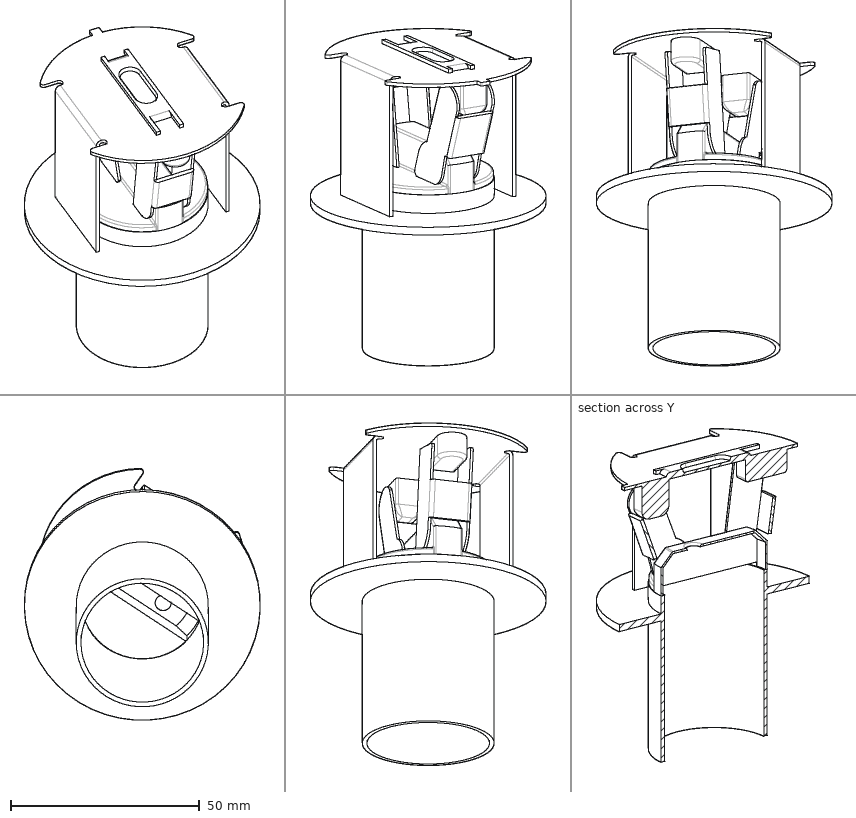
import cadquery as cq
import math

TUBE_DIAMETER = 35.0
TUBE_BORE = 32.5
TUBE_TOP = 47.0
FLANGE_DIAMETER = 62.5
FLANGE_BOTTOM = 39.9
FLANGE_TOP = 42.0

CAP_RADIUS = 17.3
CAP_TOP = 49.0
CAP_SHEET = 0.7
CAP_RIM_ROUNDING = 0.6
RIDGE_HALF_WIDTH = 4.0
RIDGE_TOP = 58.75
RIDGE_SHOULDER = 55.0
RIDGE_END_RADIUS = 17.5
RIDGE_END_SLOPE = 45
RIDGE_ROUNDING = 0.6
RIDGE_FOOT_ROUNDING = 0.5
RIDGE_HOLE_X = -6.7
RIDGE_HOLE_DIAMETER = 4.2

LEVER_HALF_WIDTH = 5.8
LEVER_SHEET = 0.7
WEB_THICKNESS = 0.9
WEB_LAP = 0.25
WEB_EDGE_ROUNDING = 1.05

TOTAL_HEIGHT = 81.4
PLATE_TOP = 80.3
PLATE_SHEET = 1.0
PLATE_BOTTOM = PLATE_TOP - PLATE_SHEET
PLATE_RADIUS = 27.4
HORN_ROUNDING = 0.9
KEY_REACH = 29.45
KEY_WIDTH = 2.9
KEY_ROUNDING = 0.3
LEG_HALF_WIDTH = 12.5
LEG_OUTER_Y = 19.5
LEG_BEND_RADIUS = 1.5
NOTCH_WIDTH = 1.95
NOTCH_BOTTOM_Y = 16.9

STRIP_HALF_LENGTH = 17.0
STRIP_HALF_WIDTH = 4.0
STRIP_RAIL = 1.1
STRIP_LEFT_END = -15.95
STRIP_RIGHT_END = 12.1
STRIP_END_ROUNDING = 1.6
OVAL_LENGTH = 15.8
OVAL_WIDTH = 6.0
OVAL_CENTER_X = -2.45
OVAL_TAPER = 18

LEFT_BLOCK_OUTER_X = -23.75
LEFT_BLOCK_INNER_X = -14.8
LEFT_BLOCK_BOTTOM = 69.5
LEFT_BLOCK_CORNER = 0.6
LEFT_BLOCK_ROUNDING = 2.5
RIGHT_BLOCK_OUTER_X = 23.9
RIGHT_BLOCK_INNER_X = 10.25
RIGHT_BLOCK_BOTTOM = 72.9
RIGHT_BLOCK_ROUNDING = 1.0


def box(x_min, x_max, y_min, y_max, z_min, z_max):
    """Block given by its limits along each axis."""
    block = cq.Workplane("XY").box(x_max - x_min, y_max - y_min, z_max - z_min, centered=False)
    return block.translate((x_min, y_min, z_min))


def cylinder(diameter, z_min, z_max):
    """Upright cylinder on the main axis."""
    return cq.Workplane("XY").workplane(offset=z_min).circle(diameter / 2).extrude(z_max - z_min)


def make_housing():
    """Open tube with a flat flange around it."""
    tube = cylinder(TUBE_DIAMETER, 0, TUBE_TOP)
    flange = cylinder(FLANGE_DIAMETER, FLANGE_BOTTOM, FLANGE_TOP)
    return tube.union(flange).cut(cylinder(TUBE_BORE, 0, TUBE_TOP))


def make_ridge(inset):
    """Ridge across the cap with sloping ends, made smaller all round by the inset."""
    radius = RIDGE_END_RADIUS - inset
    top = RIDGE_TOP - inset
    slope = math.radians(RIDGE_END_SLOPE)
    shoulder = RIDGE_SHOULDER - inset * math.tan(slope / 2)
    top_radius = radius - (top - shoulder) / math.tan(slope)
    dome = (
        cq.Workplane("XZ")
        .moveTo(0, TUBE_TOP)
        .lineTo(radius, TUBE_TOP)
        .lineTo(radius, shoulder)
        .lineTo(top_radius, top)
        .lineTo(0, top)
        .close()
        .revolve(360, (0, 0, 0), (0, 1, 0))
    )
    half_width = RIDGE_HALF_WIDTH - inset
    slice_box = box(-radius, radius, -half_width, half_width, TUBE_TOP, top)
    return dome.intersect(slice_box)


def make_cap():
    """Hollow lid and ridge of even sheet thickness, with a round-edged hole in the ridge."""
    ridge = make_ridge(0).faces("<Y or >Y").edges("not <Z").fillet(RIDGE_ROUNDING)
    lid = cylinder(2 * CAP_RADIUS, TUBE_TOP, CAP_TOP).faces(">Z").edges().fillet(CAP_RIM_ROUNDING)
    lid_cavity = cylinder(2 * (CAP_RADIUS - CAP_SHEET), TUBE_TOP, CAP_TOP - CAP_SHEET)
    cap = lid.union(ridge)
    for side in (1, -1):
        foot_edge = cq.NearestToPointSelector((0, side * RIDGE_HALF_WIDTH, CAP_TOP))
        cap = cap.edges("|X").edges(foot_edge).fillet(RIDGE_FOOT_ROUNDING)
    cap = cap.cut(lid_cavity).cut(make_ridge(CAP_SHEET))
    hole = (
        cq.Workplane("XY")
        .workplane(offset=CAP_TOP)
        .center(RIDGE_HOLE_X, 0)
        .circle(RIDGE_HOLE_DIAMETER / 2)
        .extrude(RIDGE_TOP - CAP_TOP)
    )
    cap = cap.cut(hole)
    rim = cap.faces(">Z").edges("%CIRCLE")
    return rim.fillet(RIDGE_ROUNDING)


def lever_from_outline(outline, web_top, web_bottom):
    """Two side walls of the given XZ outline, joined by a web between two points on their edge.

    The web lies on the side of its line that faces away from the main axis.
    """
    walls = outline.extrude(LEVER_HALF_WIDTH, both=True)
    gap_half_width = LEVER_HALF_WIDTH - LEVER_SHEET
    reach = FLANGE_DIAMETER / 2
    walls = walls.cut(box(-reach, reach, -gap_half_width, gap_half_width, CAP_TOP, TOTAL_HEIGHT))

    run_x = web_bottom[0] - web_top[0]
    run_z = web_bottom[1] - web_top[1]
    length = math.hypot(run_x, run_z)
    side = math.copysign(1, web_top[0])
    out_x = -side * run_z / length
    out_z = side * run_x / length

    def offset(point, distance):
        return (point[0] + distance * out_x, point[1] + distance * out_z)

    web_points = [
        offset(web_top, WEB_THICKNESS),
        offset(web_bottom, WEB_THICKNESS),
        offset(web_bottom, -WEB_LAP),
        offset(web_top, -WEB_LAP),
    ]
    web = cq.Workplane("XZ").polyline(web_points).close().extrude(LEVER_HALF_WIDTH, both=True)
    web_middle = ((web_top[0] + web_bottom[0]) / 2, (web_top[1] + web_bottom[1]) / 2)
    outer_x, outer_z = offset(web_middle, WEB_THICKNESS)
    outer_face = web.faces(cq.NearestToPointSelector((outer_x, 0, outer_z)))
    web = outer_face.edges("not |Y").fillet(WEB_EDGE_ROUNDING)
    return walls.union(web)


def make_left_lever():
    """Arm with a round head, leaning outward, and a wide foot on the cap."""
    web_bottom = (-18.95, 57.9)
    head_side = (-24.25, 72.0)
    web_top = (-23.5, 70.05)
    outline = (
        cq.Workplane("XZ")
        .moveTo(*head_side)
        .lineTo(*web_bottom)
        .lineTo(-18.0, web_bottom[1])
        .lineTo(-16.6, 53.05)
        .threePointArc((-15.2, 50.3), (-12.9, CAP_TOP))
        .lineTo(-3.4, CAP_TOP)
        .lineTo(-2.5, 50.3)
        .lineTo(-4.6, 56.1)
        .threePointArc((-5.7, 57.8), (-8.9, 59.9))
        .lineTo(-15.2, 75.9)
        .threePointArc((-19.85, 77.8), head_side)
        .close()
    )
    return lever_from_outline(outline, web_top, web_bottom)


def make_right_lever():
    """Nearly upright arm with a sloping top and a rounded lower corner."""
    web_top = (19.45, 66.95)
    web_bottom = (17.9, 56.8)
    outline = (
        cq.Workplane("XZ")
        .moveTo(6.5, CAP_TOP)
        .lineTo(11.8, CAP_TOP)
        .threePointArc((15.1, 50.7), (17.2, 53.6))
        .lineTo(20.6, 75.9)
        .threePointArc((20.4, 76.65), (19.8, 77.05))
        .lineTo(10.6, 78.5)
        .close()
    )
    return lever_from_outline(outline, web_top, web_bottom)


def make_cap_with_levers():
    return make_cap().union(make_left_lever()).union(make_right_lever())


def make_plate():
    """Round plate cut back over the legs, with notches beside them and a locating key."""
    plate = cylinder(2 * PLATE_RADIUS, PLATE_BOTTOM, PLATE_TOP)
    opening_half_width = LEG_HALF_WIDTH + NOTCH_WIDTH
    bend_start = LEG_OUTER_Y - LEG_BEND_RADIUS
    for side in (1, -1):
        y_limits = sorted((side * bend_start, side * PLATE_RADIUS))
        plate = plate.cut(
            box(-opening_half_width, opening_half_width, *y_limits, PLATE_BOTTOM, PLATE_TOP))
        notch_length = bend_start - NOTCH_BOTTOM_Y + NOTCH_WIDTH
        notches = (
            cq.Workplane("XY")
            .workplane(offset=PLATE_BOTTOM)
            .pushPoints([
                (x_side * (LEG_HALF_WIDTH + NOTCH_WIDTH / 2), side * (NOTCH_BOTTOM_Y + notch_length / 2))
                for x_side in (1, -1)
            ])
            .slot2D(notch_length, NOTCH_WIDTH, 90)
            .extrude(PLATE_SHEET)
        )
        plate = plate.cut(notches)
    plate = plate.edges("|Z").edges(">Y or <Y").fillet(HORN_ROUNDING)
    key = box(-KEY_REACH, 0, -KEY_WIDTH / 2, KEY_WIDTH / 2, PLATE_BOTTOM, PLATE_TOP)
    key = key.edges("|Z and <X").fillet(KEY_ROUNDING)
    return plate.union(key)


def make_leg(side):
    """Leg that bends down from the plate edge and stands on the flange."""
    inner_y = LEG_OUTER_Y - PLATE_SHEET
    bend_start = LEG_OUTER_Y - LEG_BEND_RADIUS
    bend_z = PLATE_TOP - LEG_BEND_RADIUS
    inner_radius = LEG_BEND_RADIUS - PLATE_SHEET
    diagonal = math.sqrt(0.5)
    leg = (
        cq.Workplane("YZ")
        .moveTo(LEG_OUTER_Y, FLANGE_TOP)
        .lineTo(LEG_OUTER_Y, bend_z)
        .threePointArc(
            (bend_start + LEG_BEND_RADIUS * diagonal, bend_z + LEG_BEND_RADIUS * diagonal),
            (bend_start, PLATE_TOP))
        .lineTo(bend_start, PLATE_BOTTOM)
        .threePointArc(
            (bend_start + inner_radius * diagonal, bend_z + inner_radius * diagonal),
            (inner_y, bend_z))
        .lineTo(inner_y, FLANGE_TOP)
        .close()
        .extrude(LEG_HALF_WIDTH, both=True)
    )
    return leg if side > 0 else leg.mirror("XZ")


def make_strip():
    """Latch strip on the plate: two rails, a bridge with rounded ends and an oval window."""
    core_half_width = STRIP_HALF_WIDTH - STRIP_RAIL
    strip = box(STRIP_LEFT_END, STRIP_RIGHT_END, -core_half_width, core_half_width,
                PLATE_BOTTOM, TOTAL_HEIGHT)
    strip = strip.edges("|Y and >Z").fillet(STRIP_END_ROUNDING)
    for y_min in (-STRIP_HALF_WIDTH, core_half_width):
        rail = box(-STRIP_HALF_LENGTH, STRIP_HALF_LENGTH, y_min, y_min + STRIP_RAIL,
                   PLATE_TOP, TOTAL_HEIGHT)
        strip = strip.union(rail)
    window = (
        cq.Workplane("XY")
        .workplane(offset=TOTAL_HEIGHT)
        .center(OVAL_CENTER_X, 0)
        .slot2D(OVAL_LENGTH, OVAL_WIDTH)
        .extrude(PLATE_TOP - TOTAL_HEIGHT, taper=OVAL_TAPER)
    )
    return strip.cut(window)


def make_left_block():
    """Square latch block under the plate, between the walls of the left lever."""
    block = box(LEFT_BLOCK_OUTER_X, LEFT_BLOCK_INNER_X, -STRIP_HALF_WIDTH, STRIP_HALF_WIDTH,
                LEFT_BLOCK_BOTTOM, PLATE_BOTTOM)
    block = block.edges("|Z").fillet(LEFT_BLOCK_CORNER)
    return block.edges("|Y and <Z and <X").fillet(LEFT_BLOCK_ROUNDING)


def make_right_block():
    """Latch block under the plate with a round end."""
    center_x = RIGHT_BLOCK_OUTER_X - STRIP_HALF_WIDTH
    block = (
        cq.Workplane("XY")
        .workplane(offset=RIGHT_BLOCK_BOTTOM)
        .moveTo(RIGHT_BLOCK_INNER_X, -STRIP_HALF_WIDTH)
        .lineTo(center_x, -STRIP_HALF_WIDTH)
        .threePointArc((RIGHT_BLOCK_OUTER_X, 0), (center_x, STRIP_HALF_WIDTH))
        .lineTo(RIGHT_BLOCK_INNER_X, STRIP_HALF_WIDTH)
        .close()
        .extrude(PLATE_BOTTOM - RIGHT_BLOCK_BOTTOM)
    )
    return block.faces("<Z").edges().fillet(RIGHT_BLOCK_ROUNDING)


def make_bracket():
    """Plate, legs, latch strip and latch blocks as one piece."""
    bracket = make_plate()
    for side in (1, -1):
        bracket = bracket.union(make_leg(side))
    return bracket.union(make_strip()).union(make_left_block()).union(make_right_block())


housing = make_housing()
cap_with_levers = make_cap_with_levers()
bracket = make_bracket()
result = cq.Compound.makeCompound([housing.val(), cap_with_levers.val(), bracket.val()])